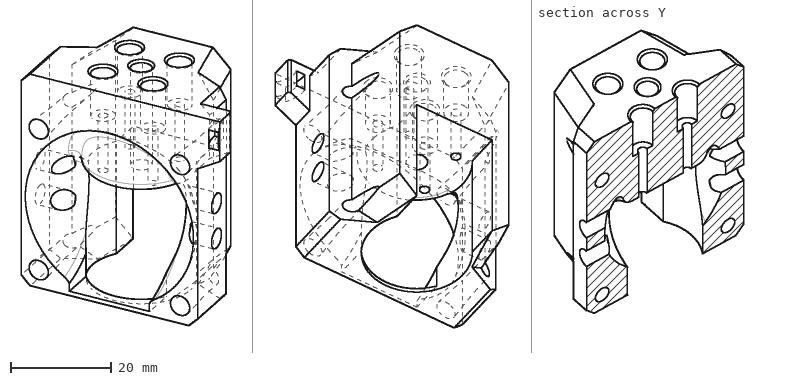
import cadquery as cq
import math

HEIGHT = 48.05
DEPTH = 27.15
PLATE_WIDTH = 40.0
EPS = 1.0

HALF_WIDTH = PLATE_WIDTH / 2
SHOULDER_Y = 12.1
REAR_ROOT_X = 16.0
REAR_ROOT_Y = 14.1
REAR_HALF_WIDTH = 13.1
PLATE_CHAMFER = 2.0
REAR_CHAMFER = 4.0

TAB_REACH = 25.0
TAB_DEPTH = 5.0
TAB_BOTTOM = 39.05
TAB_SLOPE = math.radians(30)
TAB_CHAMFER = 0.5
TIE_SLOT_BOTTOM = 41.5
TIE_SLOT_HEIGHT = 4.1
TIE_SLOT_INNER_RADIUS = 6.5
TIE_SLOT_WIDTH = 1.95

FAN_CENTER_Z = 20.05
FAN_OPENING_RADIUS = 19.05
FUNNEL_CENTER_Y = -4.07
FUNNEL_RADIUS = math.hypot(FAN_OPENING_RADIUS, FUNNEL_CENTER_Y)
FAN_SCREW_PITCH = 32.0
FAN_SCREW_DIAMETER = 3.3
FAN_SCREW_MOUTH_DIAMETER = 4.35
FAN_SCREW_TAPER_DEPTH = 8.0

AXIS_Y = DEPTH / 2
POCKET_RADIUS = 11.1
POCKET_TOP = 25.6
SLOT_WIDTH = 18.1
SLOT_FLOOR = FAN_CENTER_Z - FAN_OPENING_RADIUS
SLOT_EDGE_START_X = 10.2
SLOT_EDGE_RADIUS = 3.5
BOSS_RADIUS = 12.0
BOSS_BOTTOM_FILLET = 2.0
BOSS_ROOT_FILLET = 2.0

CENTER_HOLE_DIAMETER = 4.35
TOP_HOLE_CHAMFER = 0.5
TOP_BOLT_RADIUS = 8.0
TOP_BORE_DIAMETER = 5.0
TOP_BORE_DEPTH = 10.0
TOP_PILOT_DIAMETER = 2.0
SIDE_HOLE_DIAMETER = 4.25
SIDE_HOLE_Y = 8.0
SIDE_HOLE_DEPTH = 7.0
SIDE_HOLE_HEIGHTS = (16.5, 24.5)


def outer_body():
    half = [
        (HALF_WIDTH, 0),
        (HALF_WIDTH, SHOULDER_Y),
        (REAR_ROOT_X, REAR_ROOT_Y),
        (REAR_HALF_WIDTH, DEPTH),
    ]
    mirrored = [(-x, y) for x, y in reversed(half)]
    body = cq.Workplane("XY").polyline(half + mirrored).close().extrude(HEIGHT)
    mid_y = SHOULDER_Y / 2
    for side in (-1, 1):
        for z in (0, HEIGHT):
            plate_edge = cq.selectors.NearestToPointSelector((side * HALF_WIDTH, mid_y, z))
            rear_mid = (
                side * (REAR_ROOT_X + REAR_HALF_WIDTH) / 2,
                (REAR_ROOT_Y + DEPTH) / 2,
                z,
            )
            body = body.edges(plate_edge).chamfer(PLATE_CHAMFER)
            body = body.edges(cq.selectors.NearestToPointSelector(rear_mid)).chamfer(REAR_CHAMFER)
    return body


def side_tab():
    rise = (TAB_REACH - HALF_WIDTH) * math.tan(TAB_SLOPE)
    outline = [
        (0, HEIGHT),
        (TAB_REACH, HEIGHT),
        (TAB_REACH, TAB_BOTTOM),
        (HALF_WIDTH, TAB_BOTTOM - rise),
        (0, TAB_BOTTOM - rise),
    ]
    tab = cq.Workplane("XZ").polyline(outline).close().extrude(-TAB_DEPTH)
    return tab.edges("|Z and >X and >Y").chamfer(TAB_CHAMFER)


def tie_slot():
    reach = TIE_SLOT_INNER_RADIUS * math.sqrt(0.5)
    ring = (
        cq.Workplane("XY", origin=(TAB_REACH + reach, reach, TIE_SLOT_BOTTOM))
        .circle(TIE_SLOT_INNER_RADIUS + TIE_SLOT_WIDTH)
        .circle(TIE_SLOT_INNER_RADIUS)
        .extrude(TIE_SLOT_HEIGHT)
    )
    limit = cq.Workplane("XY").box(TAB_REACH, DEPTH, HEIGHT, centered=False)
    return ring.intersect(limit)


def boss():
    post = cq.Workplane("XY", origin=(0, AXIS_Y, POCKET_TOP)).circle(BOSS_RADIUS).extrude(HEIGHT)
    return post.faces("<Z").edges().fillet(BOSS_BOTTOM_FILLET)


def funnel_ball():
    return cq.Workplane("XY", origin=(0, FUNNEL_CENTER_Y, FAN_CENTER_Z)).sphere(FUNNEL_RADIUS)


def funnel():
    """Spherical funnel around the boss, with the boss root rounded."""
    void = funnel_ball().cut(boss())
    boss_front = (0, AXIS_Y - BOSS_RADIUS, FAN_CENTER_Z + FAN_OPENING_RADIUS)
    root = cq.selectors.NearestToPointSelector(boss_front)
    return void.edges(root).fillet(BOSS_ROOT_FILLET)


def slot(front_y, rear_y, floor, top):
    return (
        cq.Workplane("XY", origin=(0, (front_y + rear_y) / 2, floor))
        .rect(SLOT_WIDTH, rear_y - front_y)
        .extrude(top - floor)
    )


def slot_edge_round():
    """Cutter for the right-hand slot edge: an arc tangent to the funnel, swept about the funnel centre."""
    wall_x = SLOT_WIDTH / 2
    start_x = SLOT_EDGE_START_X
    start_drop = math.sqrt(FUNNEL_RADIUS**2 - start_x**2)
    stretch = 1 + SLOT_EDGE_RADIUS / FUNNEL_RADIUS
    center_x = start_x * stretch
    center_drop = start_drop * stretch

    def arc_point(x):
        return x, math.sqrt(SLOT_EDGE_RADIUS**2 - (center_x - x) ** 2) - center_drop

    return (
        cq.Workplane("XZ", origin=(0, FUNNEL_CENTER_Y, FAN_CENTER_Z))
        .moveTo(wall_x, -start_drop)
        .lineTo(*arc_point(wall_x))
        .threePointArc(arc_point((wall_x + start_x) / 2), (start_x, -start_drop))
        .close()
        .revolve(90, (0, 0), (1, 0))
    )


def heatsink_pocket():
    bore = cq.Workplane("XY", origin=(0, AXIS_Y, -EPS)).circle(POCKET_RADIUS).extrude(POCKET_TOP + EPS)
    front = slot(0, AXIS_Y, SLOT_FLOOR, POCKET_TOP)
    rear = slot(AXIS_Y, DEPTH + EPS, -EPS, POCKET_TOP)
    return bore.union(front).union(rear)


def flared_hole(start, direction, diameter, depth, mouth_diameter, flare_depth):
    """Round cutter whose mouth narrows conically to the bore."""
    origin = cq.Vector(*start)
    axis = cq.Vector(*direction)
    bore = cq.Solid.makeCylinder(diameter / 2, depth, origin, axis)
    flare = cq.Solid.makeCone(mouth_diameter / 2, diameter / 2, flare_depth, origin, axis)
    return bore.fuse(flare)


def fan_screw_hole(x, z):
    return flared_hole(
        (x, 0, z),
        (0, 1, 0),
        FAN_SCREW_DIAMETER,
        DEPTH,
        FAN_SCREW_MOUTH_DIAMETER,
        FAN_SCREW_TAPER_DEPTH,
    )


def fan_screw_holes():
    half = FAN_SCREW_PITCH / 2
    return [
        fan_screw_hole(x, z)
        for x in (-half, half)
        for z in (FAN_CENTER_Z - half, FAN_CENTER_Z + half)
    ]


def top_bore(x, y, diameter, depth):
    mouth = diameter + 2 * TOP_HOLE_CHAMFER
    return flared_hole((x, y, HEIGHT), (0, 0, -1), diameter, depth, mouth, TOP_HOLE_CHAMFER)


def top_holes():
    through = HEIGHT - POCKET_TOP + EPS
    holes = [top_bore(0, AXIS_Y, CENTER_HOLE_DIAMETER, through)]
    offset = TOP_BOLT_RADIUS * math.sqrt(0.5)
    for x in (-offset, offset):
        for y in (AXIS_Y - offset, AXIS_Y + offset):
            holes.append(top_bore(x, y, TOP_BORE_DIAMETER, TOP_BORE_DEPTH))
            pilot_start = cq.Vector(x, y, POCKET_TOP - EPS)
            holes.append(cq.Solid.makeCylinder(TOP_PILOT_DIAMETER / 2, through, pilot_start))
    return holes


def side_holes():
    holes = []
    for side in (-1, 1):
        for z in SIDE_HOLE_HEIGHTS:
            start = cq.Vector(side * HALF_WIDTH, SIDE_HOLE_Y, z)
            inward = cq.Vector(-side, 0, 0)
            holes.append(cq.Solid.makeCylinder(SIDE_HOLE_DIAMETER / 2, SIDE_HOLE_DEPTH, start, inward))
    return holes


result = outer_body().union(side_tab()).cut(tie_slot())
result = result.cut(funnel()).cut(heatsink_pocket())
result = result.cut(slot_edge_round()).cut(slot_edge_round().mirror("YZ"))
for hole in fan_screw_holes() + top_holes() + side_holes():
    result = result.cut(cq.Workplane(hole))